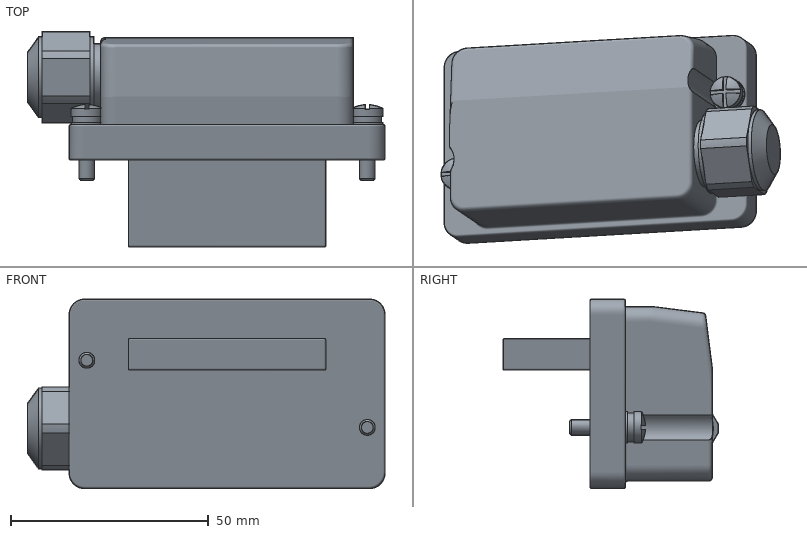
import cadquery as cq
import math

FLANGE_WIDTH = 80.0
FLANGE_HEIGHT = 48.0
FLANGE_THICKNESS = 9.0
FLANGE_CORNER_RADIUS = 4.0
FLANGE_EDGE_FILLET = 0.5

BLADE_WIDTH = 50.0
BLADE_HEIGHT = 8.0
BLADE_LENGTH = 22.0
BLADE_CENTRE_Z = 10.0
BLADE_EDGE_FILLET = 0.4

HOUSING_WIDTH = 64.0
HOUSING_HEIGHT = 44.2
HOUSING_BACK_Y = 31.0
HOUSING_CORNER_RADIUS = 3.9
HOUSING_BACK_FILLET = 1.0
HOUSING_BASE_FILLET = 0.5
ROOF_SLOPE_START_Y = 16.0
BACK_SLOPE_START_Z = 6.5
SLOPE_ANGLE = 7.2

SCREW_X = 35.5
SCREW_Z = 8.5
SHANK_RADIUS = 2.0
SHANK_TIP_Y = -5.2
SHANK_TIP_CHAMFER = 0.5
HEAD_RADIUS = 4.0
NECK_RADIUS = 3.65
PAD_HEIGHT = 0.5
HEAD_BOTTOM_Y = 11.1
HEAD_RIM_Y = 13.1
HEAD_TOP_Y = 14.1
SLOT_WIDTH = 1.0
SLOT_DEPTH = 1.2
SCREW_RECESS_RADIUS = 4.7

GLAND_Y = 21.0
GLAND_Z = -8.75
NUT_ACROSS_FLATS = 21.0
NUT_CORNER_RADIUS = 11.54
NUT_TURN = 30.0
NUT_START_X = -46.8
NUT_END_X = -34.7
COLLAR_RADIUS = 10.25
COLLAR_END_X = -33.7
GLAND_TIP_X = -50.54
GLAND_TIP_RADIUS = 6.3
CONE_BASE_X = -47.7
GLAND_NECK_RADIUS = 8.5

PICK_MARGIN = 0.01

SCREW_PLACES = [(-SCREW_X, SCREW_Z), (SCREW_X, -SCREW_Z)]
PAD_TOP_Y = FLANGE_THICKNESS + PAD_HEIGHT
HOUSING_SIDE_X = HOUSING_WIDTH / 2
HOUSING_TOP_Z = HOUSING_HEIGHT / 2
SLOPE = math.tan(math.radians(SLOPE_ANGLE))
ROOF_Z_AT_BACK = HOUSING_TOP_Z - SLOPE * (HOUSING_BACK_Y - ROOF_SLOPE_START_Y)
RIDGE_INSET = SLOPE * (ROOF_Z_AT_BACK - BACK_SLOPE_START_Z) / (1 - SLOPE**2)
RIDGE_Y = HOUSING_BACK_Y - RIDGE_INSET
RIDGE_Z = ROOF_Z_AT_BACK + SLOPE * RIDGE_INSET
DOME_HEIGHT = HEAD_TOP_Y - HEAD_RIM_Y
DOME_RADIUS = (HEAD_RADIUS**2 + DOME_HEIGHT**2) / (2 * DOME_HEIGHT)


def y_box(width, y_start, y_end, height, centre_z=0.0):
    """Box centred on X = 0 that runs between two Y positions."""
    return cq.Workplane("XY").box(width, y_end - y_start, height).translate(
        (0, (y_start + y_end) / 2, centre_z)
    )


def make_flange():
    plate = y_box(FLANGE_WIDTH, 0, FLANGE_THICKNESS, FLANGE_HEIGHT)
    plate = plate.edges("|Y").fillet(FLANGE_CORNER_RADIUS)
    return plate.faces("<Y or >Y").edges().fillet(FLANGE_EDGE_FILLET)


def make_blade():
    blade = y_box(BLADE_WIDTH, -BLADE_LENGTH, FLANGE_THICKNESS / 2, BLADE_HEIGHT, BLADE_CENTRE_Z)
    return blade.edges("|Y or <Y").fillet(BLADE_EDGE_FILLET)


def y_cylinder(radius, y_start, y_end, place):
    """Cylinder along Y at an (X, Z) place."""
    x, z = place
    axis_start = cq.Vector(x, y_start, z)
    return cq.Workplane(cq.Solid.makeCylinder(radius, y_end - y_start, axis_start, cq.Vector(0, 1, 0)))


def x_cylinder(radius, x_start, x_end):
    """Cylinder on the gland axis between two X positions."""
    return cq.Workplane("YZ", origin=(x_start, GLAND_Y, GLAND_Z)).circle(radius).extrude(x_end - x_start)


def x_edges_near(solid, y, z):
    """Edges of the solid that run along X through the given Y and Z."""
    corner_low = (-FLANGE_WIDTH, y - PICK_MARGIN, z - PICK_MARGIN)
    corner_high = (FLANGE_WIDTH, y + PICK_MARGIN, z + PICK_MARGIN)
    return solid.edges("|X").edges(cq.selectors.BoxSelector(corner_low, corner_high))


def make_housing():
    """Housing with sloping roof and back, and a recess beside each screw."""
    housing = (
        cq.Workplane("YZ")
        .moveTo(FLANGE_THICKNESS, -HOUSING_TOP_Z)
        .lineTo(HOUSING_BACK_Y, -HOUSING_TOP_Z)
        .lineTo(HOUSING_BACK_Y, BACK_SLOPE_START_Z)
        .lineTo(RIDGE_Y, RIDGE_Z)
        .lineTo(ROOF_SLOPE_START_Y, HOUSING_TOP_Z)
        .lineTo(FLANGE_THICKNESS, HOUSING_TOP_Z)
        .close()
        .extrude(HOUSING_SIDE_X, both=True)
    )
    straight_edges = housing.edges("|Y")
    sloping_roof_edges = housing.faces("<X or >X").edges(
        cq.selectors.BoxSelector(
            (-FLANGE_WIDTH, ROOF_SLOPE_START_Y, RIDGE_Z),
            (FLANGE_WIDTH, RIDGE_Y, HOUSING_TOP_Z),
        )
    )
    housing = straight_edges.add(sloping_roof_edges).fillet(HOUSING_CORNER_RADIUS)
    for place in SCREW_PLACES:
        housing = housing.cut(y_cylinder(SCREW_RECESS_RADIUS, FLANGE_THICKNESS, HOUSING_BACK_Y, place))
    housing = x_edges_near(housing, HOUSING_BACK_Y, -HOUSING_TOP_Z).fillet(HOUSING_BACK_FILLET)
    return x_edges_near(housing, RIDGE_Y, RIDGE_Z).fillet(HOUSING_BACK_FILLET)


def make_screw(place):
    """Captive screw with a domed, cross-slotted head standing on a round pad."""
    x, z = place
    screw = (
        cq.Workplane("XY")
        .moveTo(0, SHANK_TIP_Y)
        .lineTo(SHANK_RADIUS - SHANK_TIP_CHAMFER, SHANK_TIP_Y)
        .lineTo(SHANK_RADIUS, SHANK_TIP_Y + SHANK_TIP_CHAMFER)
        .lineTo(SHANK_RADIUS, FLANGE_THICKNESS / 2)
        .lineTo(HEAD_RADIUS, FLANGE_THICKNESS / 2)
        .lineTo(HEAD_RADIUS, PAD_TOP_Y)
        .lineTo(NECK_RADIUS, PAD_TOP_Y)
        .lineTo(NECK_RADIUS, HEAD_BOTTOM_Y)
        .lineTo(HEAD_RADIUS, HEAD_BOTTOM_Y)
        .lineTo(HEAD_RADIUS, HEAD_RIM_Y)
        .radiusArc((0, HEAD_TOP_Y), -DOME_RADIUS)
        .close()
        .revolve(360, (0, 0, 0), (0, 1, 0))
    )
    slot_bottom_y = HEAD_TOP_Y - SLOT_DEPTH
    screw = screw.cut(y_box(2 * HEAD_RADIUS, slot_bottom_y, HEAD_TOP_Y, SLOT_WIDTH))
    screw = screw.cut(y_box(SLOT_WIDTH, slot_bottom_y, HEAD_TOP_Y, 2 * HEAD_RADIUS))
    return screw.translate((x, 0, z))


def make_gland():
    """Hexagonal nut, two flats level, with a round collar, a conical tip and a neck."""
    nut = (
        cq.Workplane("YZ", origin=(NUT_START_X, GLAND_Y, GLAND_Z))
        .transformed(rotate=(0, 0, NUT_TURN))
        .polygon(6, NUT_ACROSS_FLATS, circumscribed=True)
        .extrude(NUT_END_X - NUT_START_X)
        .intersect(x_cylinder(NUT_CORNER_RADIUS, NUT_START_X, NUT_END_X))
    )
    collar = x_cylinder(COLLAR_RADIUS, CONE_BASE_X, COLLAR_END_X)
    cone = cq.Workplane(
        cq.Solid.makeCone(
            GLAND_TIP_RADIUS,
            COLLAR_RADIUS,
            CONE_BASE_X - GLAND_TIP_X,
            cq.Vector(GLAND_TIP_X, GLAND_Y, GLAND_Z),
            cq.Vector(1, 0, 0),
        )
    )
    neck = x_cylinder(GLAND_NECK_RADIUS, COLLAR_END_X, -HOUSING_SIDE_X)
    return nut.union(collar).union(cone).union(neck)


def make_part():
    body = make_flange().union(make_housing())
    body = x_edges_near(body, FLANGE_THICKNESS, -HOUSING_TOP_Z).fillet(HOUSING_BASE_FILLET)
    body = body.union(make_blade()).union(make_gland())
    for place in SCREW_PLACES:
        body = body.union(make_screw(place))
    return body


result = make_part()